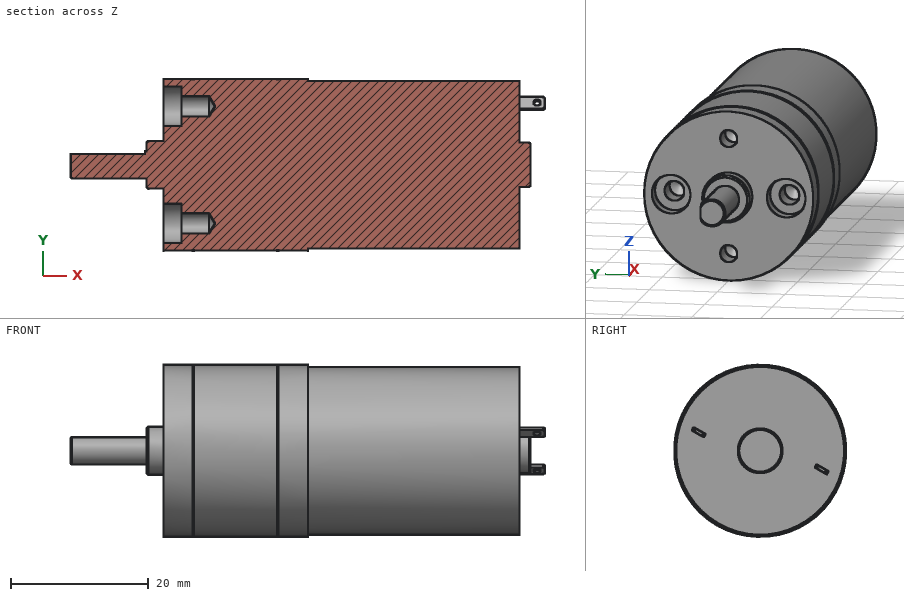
import cadquery as cq
import math


GEARBOX_DIAMETER = 25.0
GEARBOX_LENGTH = 21.0
FRONT_PLATE_THICKNESS = 4.2
REAR_PLATE_THICKNESS = 4.3
SEAM_WIDTH = 0.25
SEAM_DEPTH = 0.1

CAN_DIAMETER = 24.4
CAN_LENGTH = 30.7
REAR_BOSS_DIAMETER = 6.5
REAR_BOSS_LENGTH = 1.6
REAR_BOSS_CHAMFER = 0.2

FRONT_BOSS_DIAMETER = 7.0
FRONT_BOSS_LENGTH = 2.5
FRONT_BOSS_CHAMFER = 0.3
SHAFT_DIAMETER = 4.0
SHAFT_PROJECTION = 13.5
SHAFT_CHAMFER = 0.2
SHAFT_FLAT_DEPTH = 0.4
SHAFT_FLAT_LENGTH = 10.8

HOLE_CIRCLE_RADIUS = 8.5
PLAIN_HOLE_DIAMETER = 2.5
RECESSED_HOLE_DIAMETER = 2.9
HOLE_DEPTH = 4.0
DRILL_POINT_ANGLE = 118.0
RECESS_DIAMETER = 5.7
RECESS_DEPTH = 2.6

TERMINAL_WIDTH = 2.0
TERMINAL_THICKNESS = 0.5
TERMINAL_LENGTH = 3.7
TERMINAL_CHAMFER = 0.3
TERMINAL_TILT = 30.0
TERMINAL_OFFSET_Y = 8.93
TERMINAL_OFFSET_Z = 2.7
TERMINAL_HOLE_DIAMETER = 1.0
TERMINAL_HOLE_SETBACK = 1.15

CAN_END = GEARBOX_LENGTH + CAN_LENGTH


def cylinder(start_x, length, diameter, y=0.0, z=0.0):
    """Solid cylinder along +X."""
    plane = cq.Workplane("YZ", origin=(start_x, y, z))
    return plane.circle(diameter / 2).extrude(length)


def make_gearbox():
    gearbox = cylinder(0, GEARBOX_LENGTH, GEARBOX_DIAMETER)
    seam_starts = (
        FRONT_PLATE_THICKNESS,
        GEARBOX_LENGTH - REAR_PLATE_THICKNESS - SEAM_WIDTH,
    )
    for start_x in seam_starts:
        outer = cylinder(start_x, SEAM_WIDTH, GEARBOX_DIAMETER)
        core = cylinder(start_x, SEAM_WIDTH, GEARBOX_DIAMETER - 2 * SEAM_DEPTH)
        gearbox = gearbox.cut(outer.cut(core))
    return gearbox


def make_motor_can():
    can = cylinder(GEARBOX_LENGTH, CAN_LENGTH, CAN_DIAMETER)
    boss = cylinder(CAN_END, REAR_BOSS_LENGTH, REAR_BOSS_DIAMETER)
    return can.union(boss.faces(">X").chamfer(REAR_BOSS_CHAMFER))


def make_front_boss():
    boss = cylinder(-FRONT_BOSS_LENGTH, FRONT_BOSS_LENGTH, FRONT_BOSS_DIAMETER)
    return boss.faces("<X").chamfer(FRONT_BOSS_CHAMFER)


def make_shaft():
    """Output shaft with a chamfered tip and a D-flat facing +Y."""
    shaft = cylinder(-SHAFT_PROJECTION, SHAFT_PROJECTION, SHAFT_DIAMETER)
    shaft = shaft.faces("<X").chamfer(SHAFT_CHAMFER)
    flat_y = SHAFT_DIAMETER / 2 - SHAFT_FLAT_DEPTH
    flat_cut = cq.Workplane("XY").box(
        SHAFT_FLAT_LENGTH, SHAFT_DIAMETER, SHAFT_DIAMETER, centered=(False, False, True)
    )
    return shaft.cut(flat_cut.translate((-SHAFT_PROJECTION, flat_y, 0)))


def drilled_hole(start_x, diameter, y, z):
    """Blind hole with a conical drill point."""
    radius = diameter / 2
    point_length = radius / math.tan(math.radians(DRILL_POINT_ANGLE / 2))
    profile = (
        cq.Workplane("XY")
        .lineTo(0, radius)
        .lineTo(HOLE_DEPTH, radius)
        .lineTo(HOLE_DEPTH + point_length, 0)
        .close()
    )
    return profile.revolve(360, (0, 0, 0), (1, 0, 0)).translate((start_x, y, z))


def make_mounting_holes():
    """Two plain holes on the Z axis and two recessed holes on the Y axis."""
    holes = cq.Workplane("YZ")
    for offset in (-HOLE_CIRCLE_RADIUS, HOLE_CIRCLE_RADIUS):
        holes = holes.add(drilled_hole(0, PLAIN_HOLE_DIAMETER, 0, offset))
        holes = holes.add(cylinder(0, RECESS_DEPTH, RECESS_DIAMETER, offset, 0))
        holes = holes.add(drilled_hole(RECESS_DEPTH, RECESSED_HOLE_DIAMETER, offset, 0))
    return holes.combine()


def make_terminal():
    """Tilted solder tab on the +Y side, with a wire hole near its tip."""
    tab = cq.Workplane("XY").box(
        TERMINAL_LENGTH, TERMINAL_WIDTH, TERMINAL_THICKNESS, centered=(False, True, True)
    )
    tab = tab.edges("|Z and >X").chamfer(TERMINAL_CHAMFER)
    hole_x = TERMINAL_LENGTH - TERMINAL_HOLE_SETBACK
    wire_hole = (
        cq.Workplane("XY")
        .center(hole_x, 0)
        .circle(TERMINAL_HOLE_DIAMETER / 2)
        .extrude(TERMINAL_THICKNESS, both=True)
    )
    tab = tab.cut(wire_hole)
    tab = tab.rotate((0, 0, 0), (1, 0, 0), -TERMINAL_TILT)
    return tab.translate((CAN_END, TERMINAL_OFFSET_Y, -TERMINAL_OFFSET_Z))


body = make_gearbox().union(make_motor_can())
body = body.union(make_front_boss())
body = body.union(make_shaft())
body = body.cut(make_mounting_holes())

for turn in (0, 180):
    body = body.union(make_terminal().rotate((0, 0, 0), (1, 0, 0), turn))

result = body